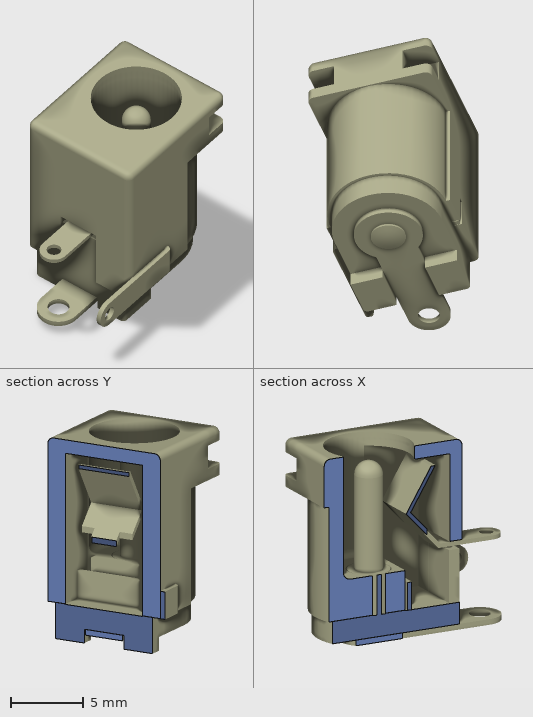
import cadquery as cq
import math


overall_length = 14.5

width = 9.0
rear_y = 4.3
front_y = -6.5
height = 11.8
edge_radius = 0.5
top_wall = 1.0
round_back_radius = 4.2
round_back_height = 8.31

bore_radius = 3.15
bore_floor_z = 2.9
bore_floor_fillet = 0.5
boss_radius = 1.52
fit_gap = 0.06

cavity_width = 6.09
cavity_rear_y = -1.19
cavity_front_y = -5.51
cavity_top_z = height - top_wall
shelf_width = 4.61
shelf_front_y = -2.03

front_slot_width = 3.1
front_slot_top_z = 4.47

notch_depth = 2.0
notch_length = 1.93
notch_top_z = height - top_wall
notch_height = 1.67

base_width = 7.77
base_front_y = -6.32
base_rear_y = 3.96
base_thickness = 1.61
base_edge_radius = 0.3
foot_rear_y = -3.32
foot_bottom_z = -2.6
tongue_width = 2.99
tongue_top_z = 3.83

tab_end_y = rear_y - overall_length
narrow_tab_width = 2.0
narrow_tab_hole_radius = 0.51

pin_radius = 1.0
pin_dome_z = 9.72
rivet_radius = 1.22
rivet_rim_height = 0.15
rivet_dome_height = 0.22

pin_terminal_thickness = 0.4
pin_terminal_width = 3.0
pin_terminal_disc_radius = 2.38
pin_terminal_hole_radius = 0.75

switch_thickness = 0.35
switch_side_gap = 0.03
switch_rear_y = -2.22
switch_recess = 0.16

spring_thickness = 0.3
spring_tab_top_z = 4.23
spring_width = 4.03
spring_foot_y = -4.93
spring_shoulder_y = -3.77
spring_contact_y = -2.1
spring_contact_z = 6.96
spring_tip_y = -4.06
spring_tip_z = 10.15


def block(x_size, y_front, y_rear, z_bottom, z_top):
    """A box centred on X = 0."""
    return (
        cq.Workplane("XY", origin=(0, 0, z_bottom))
        .center(0, (y_front + y_rear) / 2)
        .rect(x_size, y_rear - y_front)
        .extrude(z_top - z_bottom)
    )


def cylinder(radius, z_bottom, z_top):
    """A cylinder on the socket axis."""
    return cq.Workplane("XY", origin=(0, 0, z_bottom)).circle(radius).extrude(z_top - z_bottom)


def side_profile(points, x_size):
    """A closed outline of (y, z) points, extruded symmetrically about X = 0."""
    return cq.Workplane("YZ").polyline(points).close().extrude(x_size / 2, both=True)


def solder_tab(width_of_tab, length, thickness, hole_radius):
    """A flat tab that starts at the origin and runs toward -Y to a rounded end with a hole."""
    half = width_of_tab / 2
    return (
        cq.Workplane("XY")
        .moveTo(-half, 0)
        .lineTo(-half, half - length)
        .threePointArc((0, -length), (half, half - length))
        .lineTo(half, 0)
        .close()
        .extrude(thickness)
        .cut(cq.Workplane("XY").center(0, half - length).circle(hole_radius).extrude(thickness))
    )


def make_housing():
    body = block(width, front_y, rear_y, 0, height)
    body = body.edges("|Z").fillet(edge_radius).faces(">Z").edges().fillet(edge_radius)

    rear_half = block(width, 0, rear_y, 0, round_back_height)
    body = body.cut(rear_half.cut(cylinder(round_back_radius, 0, round_back_height)))

    bore = cylinder(bore_radius, bore_floor_z, height).faces("<Z").edges().fillet(bore_floor_fillet)
    boss_hole = cylinder(boss_radius + fit_gap, 0, bore_floor_z)

    cavity = block(cavity_width, cavity_front_y, cavity_rear_y, 0, cavity_top_z)
    cavity = cavity.cut(block(shelf_width, shelf_front_y, cavity_rear_y, 0, bore_floor_z))
    front_slot = block(front_slot_width, front_y, cavity_front_y, 0, front_slot_top_z)

    switch_slot = block(
        width,
        switch_rear_y - switch_thickness - switch_side_gap,
        switch_rear_y + fit_gap,
        0,
        narrow_tab_width + fit_gap,
    )
    notches = block(width, rear_y - notch_length, rear_y, notch_top_z - notch_height, notch_top_z)
    notches = notches.cut(block(width - 2 * notch_depth, 0, rear_y, 0, height))

    for opening in (bore, boss_hole, cavity, front_slot, switch_slot, notches):
        body = body.cut(opening)
    return body


def make_base():
    back_radius = base_width / 2
    back_centre_y = base_rear_y - back_radius
    plate = (
        cq.Workplane("XY", origin=(0, 0, foot_bottom_z))
        .moveTo(-back_radius, base_front_y)
        .lineTo(back_radius, base_front_y)
        .lineTo(back_radius, back_centre_y)
        .threePointArc((0, base_rear_y), (-back_radius, back_centre_y))
        .close()
        .extrude(-foot_bottom_z)
        .edges("|Z and <Y")
        .fillet(base_edge_radius)
    )
    plate = plate.cut(block(base_width, foot_rear_y, base_rear_y, foot_bottom_z, -base_thickness))
    plate = plate.cut(block(front_slot_width, base_front_y, 0, foot_bottom_z, -base_thickness))

    tongue = block(tongue_width, base_front_y, cavity_front_y, 0, tongue_top_z)
    boss = cylinder(boss_radius, 0, bore_floor_z)
    pin_hole = cylinder(pin_radius, -base_thickness, bore_floor_z)
    return plate.union(tongue).union(boss).cut(pin_hole)


def make_pin():
    rivet_z = -base_thickness - pin_terminal_thickness
    rim_z = rivet_z - rivet_rim_height
    tip_z = rim_z - rivet_dome_height
    rivet_sphere_radius = (rivet_radius**2 + rivet_dome_height**2) / (2 * rivet_dome_height)
    rivet_mid_x = rivet_radius / 2
    rivet_mid_z = tip_z + rivet_sphere_radius - math.sqrt(rivet_sphere_radius**2 - rivet_mid_x**2)
    dome_mid = pin_radius * math.sqrt(0.5)
    return (
        cq.Workplane("XZ")
        .moveTo(0, tip_z)
        .threePointArc((rivet_mid_x, rivet_mid_z), (rivet_radius, rim_z))
        .lineTo(rivet_radius, rivet_z)
        .lineTo(pin_radius, rivet_z)
        .lineTo(pin_radius, pin_dome_z)
        .threePointArc((dome_mid, pin_dome_z + dome_mid), (0, pin_dome_z + pin_radius))
        .close()
        .revolve(360, (0, 0, 0), (0, 1, 0))
    )


def make_pin_terminal():
    bottom_z = -base_thickness - pin_terminal_thickness
    tab = solder_tab(
        pin_terminal_width, -tab_end_y, pin_terminal_thickness, pin_terminal_hole_radius
    ).translate((0, 0, bottom_z))
    disc = cylinder(pin_terminal_disc_radius, bottom_z, -base_thickness)
    return tab.union(disc).cut(cylinder(pin_radius, bottom_z, -base_thickness))


def make_switch_terminal():
    inner_end_x = switch_recess - width / 2
    leg_x = width / 2 + switch_side_gap
    start_y = switch_rear_y - switch_thickness
    bend_mid = switch_thickness * math.sqrt(0.5)
    cross_strip = (
        cq.Workplane("XY")
        .moveTo(inner_end_x, switch_rear_y)
        .lineTo(leg_x, switch_rear_y)
        .threePointArc((leg_x + bend_mid, start_y + bend_mid), (leg_x + switch_thickness, start_y))
        .lineTo(inner_end_x, start_y)
        .close()
        .extrude(narrow_tab_width)
    )
    tab = (
        solder_tab(narrow_tab_width, start_y - tab_end_y, switch_thickness, narrow_tab_hole_radius)
        .rotate((0, 0, 0), (0, 1, 0), 90)
        .translate((leg_x, start_y, narrow_tab_width / 2))
    )
    return cross_strip.union(tab)


def make_spring():
    tab_bottom_z = spring_tab_top_z - spring_thickness
    tab = solder_tab(
        narrow_tab_width, spring_foot_y - tab_end_y, spring_thickness, narrow_tab_hole_radius
    ).translate((0, spring_foot_y, tab_bottom_z))

    rise = (spring_contact_z - tab_bottom_z) / (spring_contact_y - spring_foot_y)
    lower_lift = spring_thickness * math.hypot(1, rise)
    shoulder_z = tab_bottom_z + rise * (spring_shoulder_y - spring_foot_y)
    lean = (spring_tip_y - spring_contact_y) / (spring_tip_z - spring_contact_z)
    upper_offset = spring_thickness * math.hypot(1, lean)
    bend_z = spring_contact_z + (lower_lift - rise * upper_offset) / (1 - rise * lean)
    bend_y = spring_contact_y + lean * (bend_z - spring_contact_z) - upper_offset

    neck = side_profile(
        [
            (spring_foot_y, tab_bottom_z),
            (spring_shoulder_y, shoulder_z),
            (spring_shoulder_y, shoulder_z + lower_lift),
            (spring_foot_y - (lower_lift - spring_thickness) / rise, spring_tab_top_z),
        ],
        narrow_tab_width,
    )
    blade = side_profile(
        [
            (spring_shoulder_y, shoulder_z),
            (spring_contact_y, spring_contact_z),
            (spring_tip_y, spring_tip_z),
            (spring_tip_y - upper_offset, spring_tip_z),
            (bend_y, bend_z),
            (spring_shoulder_y, shoulder_z + lower_lift),
        ],
        spring_width,
    )
    return tab.union(neck).union(blade)


housing = make_housing()
base = make_base()
pin = make_pin()
pin_terminal = make_pin_terminal()
switch_terminal = make_switch_terminal()
spring = make_spring()

result = cq.Compound.makeCompound(
    [
        housing.solids().val(),
        base.solids().val(),
        pin.solids().val(),
        pin_terminal.solids().val(),
        switch_terminal.solids().val(),
        spring.solids().val(),
    ]
)